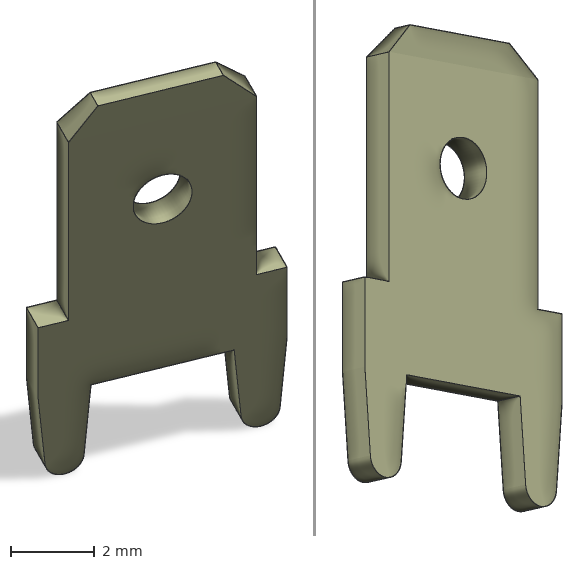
import cadquery as cq
import math

thickness = 0.8
body_width = 6.35
blade_width = 4.8
total_height = 11.2

shoulder_z = 4.8
leg_root_z = 2.6

tip_height = 0.8
tip_edge_thickness = 0.53

hole_diameter = 1.5
hole_below_top = 3.3
hole_z = total_height - hole_below_top

leg_pitch = 5.0
leg_tip_radius = 0.5
leg_root_width = body_width - leg_pitch
flank_height = leg_root_z - leg_tip_radius


def sheet_face():
    """YZ plane on the -X face of the sheet; extruding by the thickness centres it on X = 0."""
    return cq.Workplane("YZ", origin=(-thickness / 2, 0, 0))


def make_body():
    half_body = body_width / 2
    half_blade = blade_width / 2
    half_top = half_blade - tip_height
    outline = (
        sheet_face()
        .moveTo(-half_body, leg_root_z)
        .lineTo(half_body, leg_root_z)
        .lineTo(half_body, shoulder_z)
        .lineTo(half_blade, shoulder_z)
        .lineTo(half_blade, total_height - tip_height)
        .lineTo(half_top, total_height)
        .lineTo(-half_top, total_height)
        .lineTo(-half_blade, total_height - tip_height)
        .lineTo(-half_blade, shoulder_z)
        .lineTo(-half_body, shoulder_z)
        .close()
    )
    return outline.extrude(thickness)


def make_leg(center_y):
    """Leg whose straight flanks run tangent into the round tip."""
    half_root = leg_root_width / 2
    root_distance = math.hypot(half_root, flank_height)
    flank_angle = math.atan2(flank_height, half_root) - math.acos(leg_tip_radius / root_distance)
    tangent_y = leg_tip_radius * math.cos(flank_angle)
    tangent_z = leg_tip_radius + leg_tip_radius * math.sin(flank_angle)
    outline = (
        sheet_face()
        .moveTo(center_y - half_root, leg_root_z)
        .lineTo(center_y - tangent_y, tangent_z)
        .threePointArc((center_y, 0), (center_y + tangent_y, tangent_z))
        .lineTo(center_y + half_root, leg_root_z)
        .close()
    )
    return outline.extrude(thickness)


def make_tip_wedge(side):
    """Waste removed from one face (side = +1 or -1) to bevel the blade tip."""
    return (
        cq.Workplane("XZ")
        .moveTo(side * thickness / 2, total_height - tip_height)
        .lineTo(side * thickness / 2, total_height)
        .lineTo(side * tip_edge_thickness / 2, total_height)
        .close()
        .extrude(blade_width, both=True)
    )


def make_hole():
    return sheet_face().center(0, hole_z).circle(hole_diameter / 2).extrude(thickness)


result = make_body()
for side in (-1, 1):
    result = result.union(make_leg(side * leg_pitch / 2))
for side in (-1, 1):
    result = result.cut(make_tip_wedge(side))
result = result.cut(make_hole())